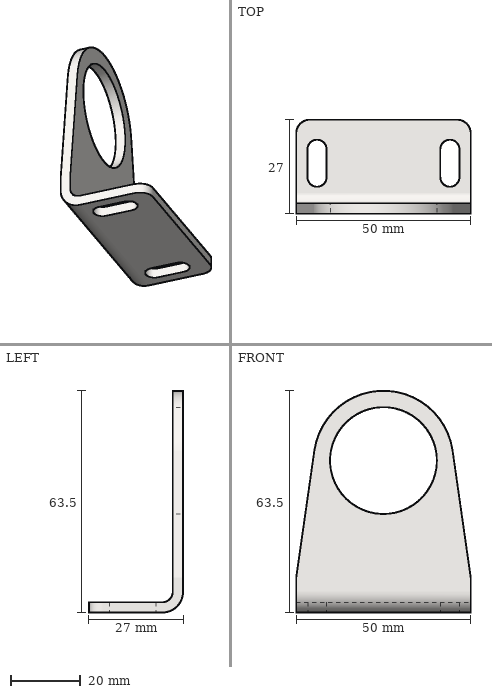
import cadquery as cq
import math

width = 50.0
depth = 27.0
thickness = 3.0
inner_bend_radius = 3.0
outer_bend_radius = inner_bend_radius + thickness

head_radius = 20.0
head_center_z = 43.5
shoulder_z = 10.0
hole_diameter = 30.5
head_top_z = head_center_z + head_radius

foot_corner_radius = 4.0
slot_width = 5.4
slot_length = 13.4
slot_spacing = 38.0
slot_center_y = 14.5


def bent_sheet():
    """L-shaped sheet: foot along +Y, upright along +Z, rounded bend at the origin edge."""
    profile = (
        cq.Workplane("YZ")
        .moveTo(depth, 0)
        .lineTo(outer_bend_radius, 0)
        .radiusArc((0, outer_bend_radius), outer_bend_radius)
        .lineTo(0, head_top_z)
        .lineTo(thickness, head_top_z)
        .lineTo(thickness, outer_bend_radius)
        .radiusArc((outer_bend_radius, thickness), -inner_bend_radius)
        .lineTo(depth, thickness)
        .close()
    )
    return profile.extrude(width / 2, both=True)


def upright_outline():
    """Prism along Y whose tapered sides run tangent into the round head."""
    half_width = width / 2
    shoulder_drop = shoulder_z - head_center_z
    shoulder_distance = math.hypot(half_width, shoulder_drop)
    tangent_angle = math.atan2(shoulder_drop, half_width) + math.acos(head_radius / shoulder_distance)
    tangent_x = head_radius * math.cos(tangent_angle)
    tangent_z = head_center_z + head_radius * math.sin(tangent_angle)
    outline = (
        cq.Workplane("XZ")
        .moveTo(-half_width, 0)
        .lineTo(half_width, 0)
        .lineTo(half_width, shoulder_z)
        .lineTo(tangent_x, tangent_z)
        .threePointArc((0, head_top_z), (-tangent_x, tangent_z))
        .lineTo(-half_width, shoulder_z)
        .close()
    )
    return outline.extrude(-depth)


def head_hole():
    """Round opening through the upright, concentric with the head."""
    return cq.Workplane("XZ").center(0, head_center_z).circle(hole_diameter / 2).extrude(-thickness)


def mounting_slots():
    """Two slots through the foot, long in Y."""
    slot_centers = [(side * slot_spacing / 2, slot_center_y) for side in (-1, 1)]
    return (
        cq.Workplane("XY")
        .pushPoints(slot_centers)
        .slot2D(slot_length, slot_width, angle=90)
        .extrude(thickness)
    )


bracket = bent_sheet().intersect(upright_outline())
bracket = bracket.edges("|Z and >Y").fillet(foot_corner_radius)
result = bracket.cut(head_hole()).cut(mounting_slots())